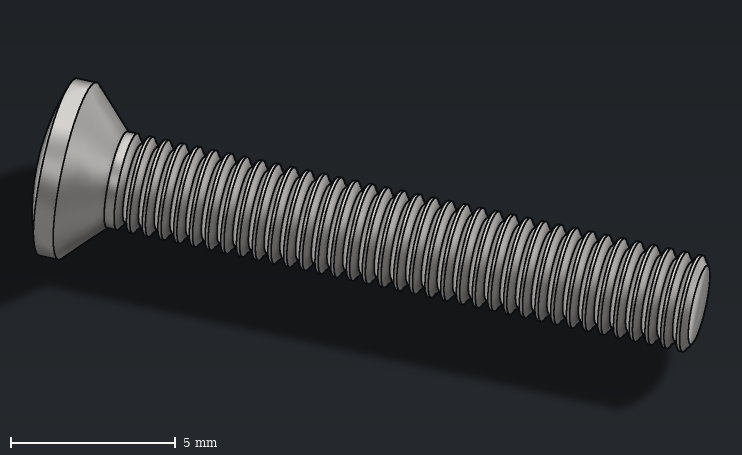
import cadquery as cq
import math

total_length = 20.7

head_diameter = 5.5
rim_start = 0.52
rim_width = 0.62
dome_height = 0.54

major_diameter = 3.0
minor_diameter = 2.45
ridge_count = 36
thread_length = 17.8
crest_width = 0.1

recess_floor = 2.28
recess_half_length = 1.74
recess_half_width = 0.43
recess_floor_half_width = 0.23

head_radius = head_diameter / 2
major_radius = major_diameter / 2
minor_radius = minor_diameter / 2
dome_apex = rim_start - dome_height
dome_radius = (head_radius**2 + dome_height**2) / (2 * dome_height)
cone_start = rim_start + rim_width
cone_end = cone_start + (head_radius - major_radius)
thread_start = total_length - thread_length
pitch = thread_length / ridge_count
flank_width = (pitch - crest_width) / 2


def dome_x(radius):
    """X of the dome surface at a given distance from the axis."""
    return dome_apex + dome_radius - math.sqrt(dome_radius**2 - radius**2)


def screw_body():
    """Head and shank, turned about X, with ring-shaped thread ridges."""
    dome_midpoint = (dome_x(head_radius / 2), head_radius / 2)
    profile = (
        cq.Workplane("XY")
        .moveTo(dome_apex, 0)
        .threePointArc(dome_midpoint, (rim_start, head_radius))
        .lineTo(cone_start, head_radius)
        .lineTo(cone_end, major_radius)
        .lineTo(thread_start - flank_width, major_radius)
        .lineTo(thread_start, minor_radius)
    )
    for ridge in range(ridge_count):
        root = thread_start + ridge * pitch
        profile = (
            profile.lineTo(root + flank_width, major_radius)
            .lineTo(root + flank_width + crest_width, major_radius)
            .lineTo(root + pitch, minor_radius)
        )
    profile = profile.lineTo(total_length, 0).close()
    return profile.revolve(axisStart=(0, 0, 0), axisEnd=(1, 0, 0))


def recess_arm(size_y, size_z):
    """One bar of the cross, tapering from the dome apex to the shared square floor."""
    floor_size = 2 * recess_floor_half_width
    return (
        cq.Workplane("YZ", origin=(dome_apex, 0, 0))
        .rect(size_y, size_z)
        .workplane(offset=recess_floor - dome_apex)
        .rect(floor_size, floor_size)
        .loft(ruled=True)
    )


recess_length = 2 * recess_half_length
recess_width = 2 * recess_half_width
result = (
    screw_body()
    .cut(recess_arm(recess_length, recess_width))
    .cut(recess_arm(recess_width, recess_length))
)